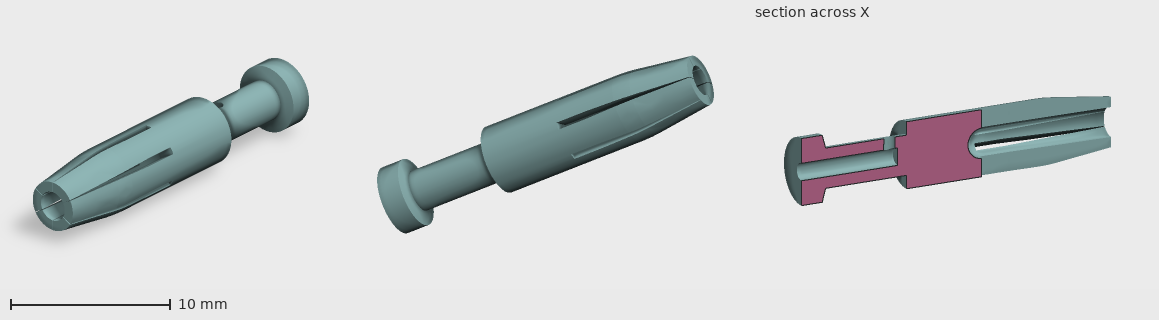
import cadquery as cq
import math

length = 22.2
body_diameter = 4.42
body_radius = body_diameter / 2
tip_y = -length / 2
head_y = length / 2

head_length = 1.5
head_chamfer_length = 0.25
neck_radius = 1.33
shoulder_distance = 7.53
shoulder_y = head_y - shoulder_distance

tip_radius = 1.65
cone_length = 3.9
blend_length = 1.22
cone_y = tip_y + cone_length
blend_y = cone_y + blend_length

socket_radius = 0.98

slot_count = 6
slot_length = 9.28
slot_taper_length = 7.2
slot_root_width = 0.47
slot_tip_width = 0.05
slot_root_y = tip_y + slot_length
slot_taper_y = tip_y + slot_taper_length

wire_bore_radius = 0.55
wire_bore_depth = 6.88
inspection_diameter = 0.78
inspection_distance = 6.3
inspection_y = head_y - inspection_distance


def make_blank():
    slope = (body_radius - tip_radius) / (cone_length + blend_length / 2)
    cone_radius = tip_radius + slope * cone_length
    profile = (
        cq.Workplane("XY")
        .moveTo(0, tip_y)
        .lineTo(tip_radius, tip_y)
        .lineTo(cone_radius, cone_y)
        .tangentArcPoint((body_radius, blend_y), relative=False)
        .lineTo(body_radius, shoulder_y)
        .lineTo(neck_radius, shoulder_y)
        .lineTo(neck_radius, head_y - head_length - head_chamfer_length)
        .lineTo(body_radius, head_y - head_length)
        .lineTo(body_radius, head_y)
        .lineTo(0, head_y)
        .close()
    )
    return profile.revolve(360, (0, 0), (0, 1))


def make_socket():
    dome_offset = socket_radius * math.sqrt(0.5)
    profile = (
        cq.Workplane("XY")
        .moveTo(0, tip_y)
        .lineTo(socket_radius, tip_y)
        .lineTo(socket_radius, slot_root_y)
        .threePointArc((dome_offset, slot_root_y + dome_offset), (0, slot_root_y + socket_radius))
        .close()
    )
    return profile.revolve(360, (0, 0), (0, 1))


def make_slot(angle):
    outline = [
        (-slot_tip_width / 2, tip_y),
        (slot_tip_width / 2, tip_y),
        (slot_root_width / 2, slot_taper_y),
        (slot_root_width / 2, slot_root_y),
        (-slot_root_width / 2, slot_root_y),
        (-slot_root_width / 2, slot_taper_y),
    ]
    slot = cq.Workplane("XY").polyline(outline).close().extrude(length)
    return slot.rotate((0, 0, 0), (0, 1, 0), angle)


def make_wire_bore():
    return cq.Workplane("XZ", origin=(0, head_y, 0)).circle(wire_bore_radius).extrude(wire_bore_depth)


def make_inspection_hole():
    return cq.Workplane("XY").center(0, inspection_y).circle(inspection_diameter / 2).extrude(body_radius)


result = make_blank().cut(make_socket())
for index in range(slot_count):
    result = result.cut(make_slot(index * 360 / slot_count))
result = result.cut(make_wire_bore()).cut(make_inspection_hole())